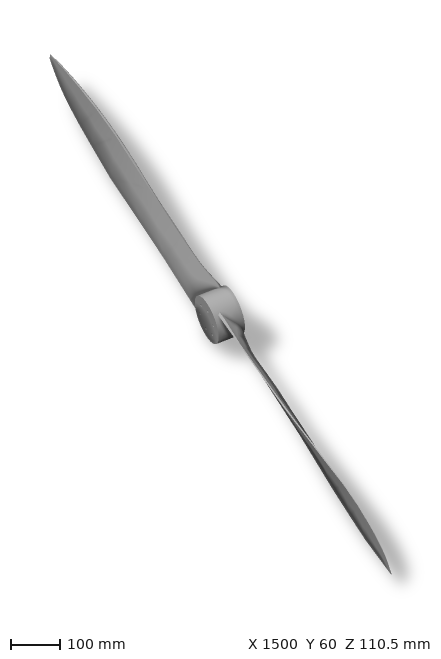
import cadquery as cq

hub_diameter = 105.0
hub_length = 60.0

bolt_count = 6
bolt_circle_diameter = 63.0
bolt_hole_diameter = 6.0
first_bolt_angle = 22.0

span = 1500.0
tip_radius = span / 2
crest_position = 0.35
trailing_thickness_ratio = 0.25

blade_sections = [
    (22.0, 15.0, 42.0, -21.0, -42.0, 24.0),
    (60.0, 15.0, 39.0, -20.0, -42.0, 21.0),
    (105.0, 14.0, 35.0, -20.0, -42.0, 14.0),
    (195.0, 14.0, 33.0, -16.0, -40.0, 12.0),
    (285.0, 12.0, 38.0, -15.0, -39.0, 12.8),
    (375.0, 12.0, 45.0, -14.0, -44.0, 12.0),
    (465.0, 10.0, 54.0, -10.0, -48.0, 10.0),
    (540.0, 9.0, 55.0, -6.0, -48.0, 8.0),
    (615.0, 6.0, 52.0, -3.0, -42.0, 6.0),
    (675.0, 5.0, 45.0, -2.0, -28.0, 5.0),
    (720.0, 3.0, 38.0, 0.0, -8.0, 3.0),
    (tip_radius, 2.0, 32.0, 0.0, 21.0, 2.0),
]


def section_wire(radius, lead_y, lead_z, trail_y, trail_z, thickness):
    """Airfoil across the -X blade: flat front, convex back, blunt trailing edge."""
    chord = cq.Vector(0, trail_y - lead_y, trail_z - lead_z)
    back_normal = cq.Vector(1, 0, 0).cross(chord).normalized()
    lead = cq.Vector(-radius, lead_y, lead_z)
    trail = cq.Vector(-radius, trail_y, trail_z)
    crest = lead + chord * crest_position + back_normal * thickness
    trail_back = trail + back_normal * (thickness * trailing_thickness_ratio)
    return cq.Wire.assembleEdges([
        cq.Edge.makeLine(trail, lead),
        cq.Edge.makeSpline([lead, crest, trail_back], tangents=[back_normal, trail_back - crest]),
        cq.Edge.makeLine(trail_back, trail),
    ])


def make_blade():
    wires = [section_wire(*section) for section in blade_sections]
    return cq.Workplane(obj=cq.Solid.makeLoft(wires))


hub = cq.Workplane("XZ").circle(hub_diameter / 2).extrude(hub_length / 2, both=True)
first_blade = make_blade()
second_blade = first_blade.rotate((0, 0, 0), (0, 1, 0), 180)

bolt_holes = (
    cq.Workplane("XZ")
    .polarArray(bolt_circle_diameter / 2, first_bolt_angle, 360, bolt_count)
    .circle(bolt_hole_diameter / 2)
    .extrude(hub_length, both=True)
)

result = hub.union(first_blade).union(second_blade).cut(bolt_holes)